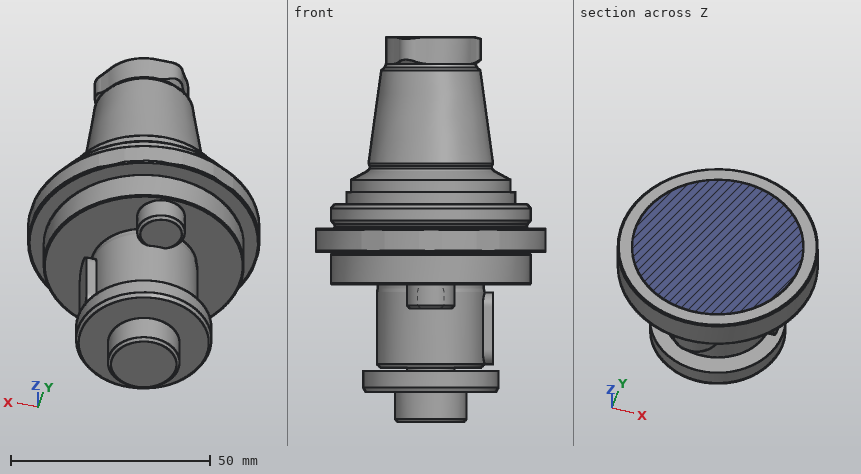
import cadquery as cq

total_height = 96.5
washer_bottom = 7.5
washer_top = 12.8
pilot_bottom = 13.6
pilot_top = 32.5
flange_bottom = 34.5
flange_top = 42.2
ring_bottom = 42.7
ring_top = 48.5
collar_bottom = 50.6
collar_top = 54.5
step_top = 57.6
hub_top = 60.7
shoulder_top = 62.9
relief_top = 64.2
taper_bottom = 64.8
taper_top = 88.1
head_bottom = 89.7

screw_radius = 17.95 / 2
stem_radius = 12.0 / 2
washer_radius = 34.0 / 2
pilot_radius = 27 / 2
pilot_relief_radius = 26.6 / 2
flange_radius = 50.2 / 2
ring_neck_radius = 43.0 / 2
collar_neck_radius = 48.1 / 2
step_radius = 42.4 / 2
hub_radius = 40.0 / 2
shoulder_radius = 15.9
relief_radius = 15.3
taper_large_radius = 15.6
taper_small_radius = 12.45
head_radius = 11.2

screw_chamfer = 0.8
washer_chamfer_width = 0.7
washer_chamfer_height = 1.2
pilot_chamfer = 1.0
pilot_relief_blend = 1.0
flange_chamfer = 0.3
collar_chamfer_width = 0.9
collar_chamfer_height = 1.0
collar_crest_radius = 23.5
collar_crest_height = 0.2
collar_lip = 0.3
collar_lip_height = 0.5
head_seat_radius = 11.6
head_seat_height = 0.8
relief_blend_height = 0.6

ring_radius = 58.0 / 2
ring_chamfer = 0.4
side_flat_distance = 57.6 / 2
front_flat_distance = 57.7 / 2
side_flat_angles = range(0, 360, 60)
front_flat_angles = (90, 270)

pin_radius = 12.0 / 2
pin_offset = 18.0
pin_length = 6.1
pin_chamfer = 0.8
key_width = 7.1
key_bottom = 14.5
key_top = 32.5
key_face = 15.6

lobe_count = 3
lobe_tip_radius = 12.5
lobe_shoulder_x = 11.6
lobe_shoulder_y = 2.4
lobe_root_x = 10.1
lobe_root_y = 4.7
head_top_radius = 10.9
head_top_bevel = 0.5
lobe_bottom_bevel = 1.1


def turned(profile):
    """Revolve a (radius, height) outline, closed along the Z axis."""
    points = [(0, profile[0][1])] + profile + [(0, profile[-1][1])]
    outline = cq.Workplane("XZ").polyline(points).close()
    return outline.revolve(360, (0, 0, 0), (0, 1, 0))


def lower_body():
    """Screw, washer, pilot spigot and the pin flange."""
    return turned([
        (screw_radius - screw_chamfer, 0),
        (screw_radius, screw_chamfer),
        (screw_radius, washer_bottom),
        (washer_radius - washer_chamfer_width, washer_bottom),
        (washer_radius, washer_bottom + washer_chamfer_height),
        (washer_radius, washer_top),
        (stem_radius, washer_top),
        (stem_radius, pilot_bottom),
        (pilot_radius - pilot_chamfer, pilot_bottom),
        (pilot_radius, pilot_bottom + pilot_chamfer),
        (pilot_radius, pilot_top),
        (pilot_relief_radius, pilot_top + pilot_relief_blend),
        (pilot_relief_radius, flange_bottom),
        (flange_radius - flange_chamfer, flange_bottom),
        (flange_radius, flange_bottom + flange_chamfer),
        (flange_radius, flange_top - flange_chamfer),
        (flange_radius - flange_chamfer, flange_top),
        (ring_neck_radius, flange_top),
        (ring_neck_radius, ring_bottom),
    ])


def upper_body():
    """Grooved collar, stepped hub, taper and the neck up to the bayonet head."""
    lip_radius = collar_neck_radius + collar_lip
    return turned([
        (lip_radius, ring_top),
        (collar_neck_radius, ring_top + collar_lip_height),
        (lip_radius, collar_bottom - collar_chamfer_width),
        (flange_radius, collar_bottom),
        (flange_radius, collar_top - collar_chamfer_height),
        (flange_radius - collar_chamfer_width, collar_top),
        (collar_crest_radius, collar_top + collar_crest_height),
        (step_radius, collar_top + collar_crest_height),
        (step_radius, step_top),
        (hub_radius, step_top),
        (hub_radius, hub_top),
        (shoulder_radius, shoulder_top),
        (relief_radius, shoulder_top + relief_blend_height),
        (relief_radius, relief_top),
        (taper_large_radius, taper_bottom),
        (taper_small_radius, taper_top),
        (head_seat_radius, taper_top + head_seat_height),
        (head_radius, head_bottom),
    ])


def adjusting_ring():
    ring = cq.Workplane("XY").workplane(offset=ring_bottom).circle(ring_radius)
    ring = ring.extrude(ring_top - ring_bottom).edges().chamfer(ring_chamfer)
    flats = [(angle, side_flat_distance) for angle in side_flat_angles]
    flats += [(angle, front_flat_distance) for angle in front_flat_angles]
    for angle, distance in flats:
        cutter = cq.Workplane("XY").box(
            ring_radius, ring_radius, total_height, centered=(False, True, False)
        )
        cutter = cutter.translate((distance, 0, 0)).rotate((0, 0, 0), (0, 0, 1), angle)
        ring = ring.cut(cutter)
    return ring


def drive_pins():
    pins = cq.Workplane("XY").workplane(offset=flange_bottom - pin_length)
    pins = pins.pushPoints([(0, -pin_offset), (0, pin_offset)]).circle(pin_radius)
    pins = pins.extrude(pin_length + flange_chamfer)
    return pins.faces("<Z").edges().chamfer(pin_chamfer)


def key():
    """Round-ended key standing out of the pilot on the +X side."""
    middle = (key_bottom + key_top) / 2
    profile = cq.Workplane("YZ").center(0, middle).slot2D(key_top - key_bottom, key_width, 90)
    return profile.extrude(key_face)


def bayonet_head():
    height = total_height - head_bottom
    base = cq.Workplane("XY").workplane(offset=head_bottom)
    head = base.circle(head_radius).extrude(height)
    lobe = (
        base.moveTo(0, -lobe_root_y)
        .lineTo(lobe_root_x, -lobe_root_y)
        .lineTo(lobe_shoulder_x, -lobe_shoulder_y)
        .threePointArc((lobe_tip_radius, 0), (lobe_shoulder_x, lobe_shoulder_y))
        .lineTo(lobe_root_x, lobe_root_y)
        .lineTo(0, lobe_root_y)
        .close()
        .extrude(height)
    )
    for index in range(lobe_count):
        head = head.union(lobe.rotate((0, 0, 0), (0, 0, 1), index * 360 / lobe_count))
    envelope = turned([
        (head_radius, head_bottom),
        (lobe_tip_radius, head_bottom + lobe_bottom_bevel),
        (lobe_tip_radius, total_height - head_top_bevel),
        (head_top_radius, total_height),
    ])
    return head.intersect(envelope)


result = lower_body()
for feature in (adjusting_ring(), upper_body(), bayonet_head(), drive_pins(), key()):
    result = result.union(feature)